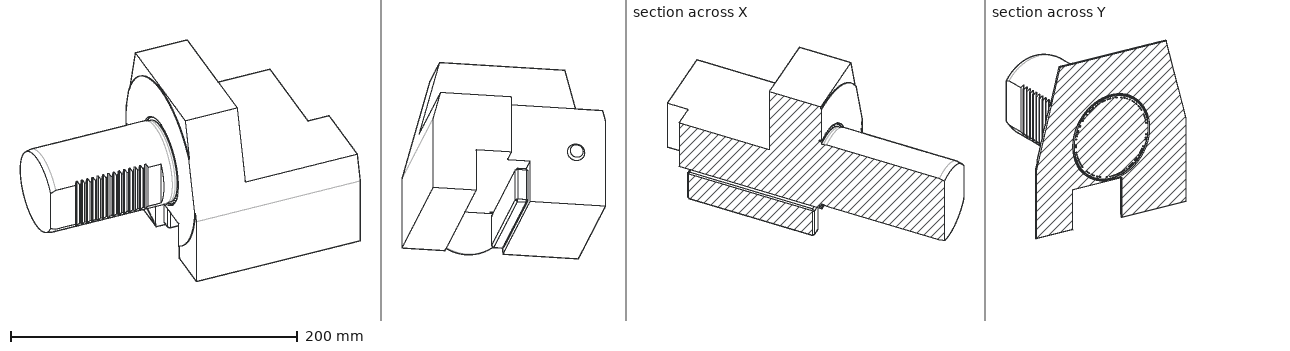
import cadquery as cq
import math


overall_length = 219

body_size = 125.0
half_size = body_size / 2
flank_tilt = math.radians(15)
left_flank_height = 61.8
right_flank_height = 73.5
flange_thickness = 40.0
ledge_drop = 54.0
rear_step_depth = 16.0
rear_step_x = 7.0

seat_diameter = 122.2
seat_height = 0.7

slot_width = 41.0
slot_height = 30.0
slot_left_x = -9.0

bar_width = 9.2
bar_height = 25.0
bar_bottom_gap = 2.0
bar_inset = 6.0
bar_chamfer = 1.5

shank_length = overall_length - body_size
shank_radius = 60.0 / 2
neck_radius = 58.7 / 2
neck_length = 1.3
neck_taper_end = 3.7
end_chamfer_length = 4.0
end_chamfer_radial = 0.9
seal_groove_radius = 64.0 / 2
seal_groove_depth = 2.0

ring_section_radius = 2.1 / 2
ring_squeeze = 0.2
ring_center_radius = neck_radius + ring_section_radius - ring_squeeze

flat_x = 25.0
flat_start = 10.0
tooth_count = 14
first_tooth_y = -21.5
last_tooth_y = -73.5
tooth_pitch = (first_tooth_y - last_tooth_y) / (tooth_count - 1)
tooth_depth = 1.5
tooth_mouth = 3.0
tooth_floor = 0.9

screw_x = -41.6
screw_z = -23.9
screw_base_radius = 6.1
screw_tip_radius = 4.5
screw_height = 2.6


def corner_box(x_range, y_range, z_range):
    """Box given by its lower and upper limit along each axis."""
    lows, highs = zip(x_range, y_range, z_range)
    sizes = [high - low for low, high in zip(lows, highs)]
    return cq.Workplane("XY").box(*sizes, centered=False).translate(lows)


def extrude_toward_rear(profile, y_start, y_end):
    """Extrude an XZ profile from y_start to y_end."""
    return profile.extrude(y_start - y_end).translate((0, y_start, 0))


def tapered_outline():
    """Front outline: a square whose upper flanks lean inward."""
    left_top_x = -half_size + left_flank_height * math.tan(flank_tilt)
    right_top_x = half_size - right_flank_height * math.tan(flank_tilt)
    return cq.Workplane("XZ").polyline([
        (-half_size, -half_size),
        (half_size, -half_size),
        (half_size, half_size - right_flank_height),
        (right_top_x, half_size),
        (left_top_x, half_size),
        (-half_size, half_size - left_flank_height),
    ]).close()


def make_body():
    block = extrude_toward_rear(tapered_outline(), seat_height, body_size)
    seat_disc = extrude_toward_rear(cq.Workplane("XZ").circle(seat_diameter / 2), 0, seat_height)
    seat_limit = extrude_toward_rear(tapered_outline(), 0, seat_height)
    body = block.union(seat_disc.intersect(seat_limit))

    above_ledge = corner_box(
        (-half_size, half_size), (flange_thickness, body_size), (half_size - ledge_drop, half_size))
    rear_step = corner_box(
        (-half_size, rear_step_x), (body_size - rear_step_depth, body_size), (-half_size, half_size))
    slot = corner_box(
        (slot_left_x, slot_left_x + slot_width), (0, body_size), (-half_size, -half_size + slot_height))
    return body.cut(above_ledge).cut(rear_step).cut(slot)


def make_seal_groove():
    """Ring-shaped recess in the seat around the shank neck."""
    ring = cq.Workplane("XZ").circle(seal_groove_radius).circle(neck_radius)
    return extrude_toward_rear(ring, 0, seal_groove_depth)


def make_seal_ring():
    """O-ring around the neck, flush with the mounting face."""
    return (
        cq.Workplane("XY")
        .center(ring_center_radius, ring_section_radius)
        .circle(ring_section_radius)
        .revolve(360, (-ring_center_radius, 0, 0), (-ring_center_radius, 1, 0))
    )


def make_shank():
    """Revolved shank that reaches to the bottom of the seal groove."""
    shank = (
        cq.Workplane("XY")
        .moveTo(0, seal_groove_depth)
        .lineTo(neck_radius, seal_groove_depth)
        .lineTo(neck_radius, -neck_length)
        .lineTo(shank_radius, -neck_taper_end)
        .lineTo(shank_radius, -shank_length + end_chamfer_length)
        .lineTo(shank_radius - end_chamfer_radial, -shank_length)
        .lineTo(0, -shank_length)
        .close()
        .revolve(360, (0, 0, 0), (0, 1, 0))
    )
    flat = corner_box(
        (flat_x, shank_radius), (-shank_length, -flat_start), (-shank_radius, shank_radius))
    shank = shank.cut(flat)
    for index in range(tooth_count):
        shank = shank.cut(make_tooth_gap(first_tooth_y - index * tooth_pitch))
    return shank


def make_tooth_gap(y_center):
    """Trapezoidal groove across the shank flat."""
    return (
        cq.Workplane("XY")
        .polyline([
            (flat_x, y_center + tooth_mouth / 2),
            (flat_x - tooth_depth, y_center + tooth_floor / 2),
            (flat_x - tooth_depth, y_center - tooth_floor / 2),
            (flat_x, y_center - tooth_mouth / 2),
        ])
        .close()
        .extrude(shank_radius, both=True)
    )


def make_clamping_bar():
    bar_bottom = -half_size + bar_bottom_gap
    bar = corner_box(
        (slot_left_x, slot_left_x + bar_width),
        (bar_inset, body_size - rear_step_depth - bar_inset),
        (bar_bottom, bar_bottom + bar_height),
    )
    return bar.edges().chamfer(bar_chamfer)


def make_screw_tip():
    """Short cone standing on the stepped-back rear face."""
    cone = cq.Solid.makeCone(
        screw_base_radius, screw_tip_radius, screw_height,
        pnt=cq.Vector(screw_x, body_size - rear_step_depth, screw_z), dir=cq.Vector(0, 1, 0))
    return cq.Workplane(cone)


result = (
    make_body()
    .cut(make_seal_groove())
    .union(make_shank())
    .union(make_seal_ring())
    .union(make_clamping_bar())
    .union(make_screw_tip())
)